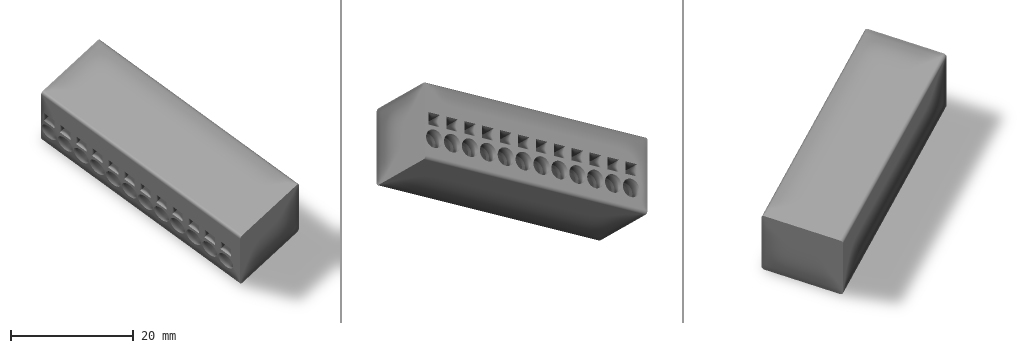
import cadquery as cq

length = 43.4
depth = 14.4
height = 13.5
edge_radius = 0.5

pole_count = 12
first_pole_x = 1.75
last_pole_x = 40.25
pole_pitch = (last_pole_x - first_pole_x) / (pole_count - 1)

entry_diameter = 3.2
entry_floor_diameter = 2.47
entry_z = 3.8
entry_straight_depth = 2.1
entry_taper_depth = 0.35

release_width = 2.25
release_height = 2.15
release_z = 7.15
release_depth = 3.12


def make_housing():
    """Block with its front at Y = 0, rounded along its four long edges."""
    block = cq.Workplane("XY").box(length, depth, height, centered=False)
    return block.edges("|X").fillet(edge_radius)


def make_wire_entry(x):
    """Revolved cutter for one wire entry, running from the front face toward +Y."""
    entry_radius = entry_diameter / 2
    floor_radius = entry_floor_diameter / 2
    floor_depth = entry_straight_depth + entry_taper_depth
    profile = (
        cq.Workplane("XY")
        .lineTo(entry_radius, 0)
        .lineTo(entry_radius, entry_straight_depth)
        .lineTo(floor_radius, floor_depth)
        .lineTo(0, floor_depth)
        .close()
    )
    cutter = profile.revolve(360, (0, 0, 0), (0, 1, 0))
    return cutter.translate((x, 0, entry_z))


def make_release_opening(x):
    """Box cutter for one release opening, running from the front face toward +Y."""
    cutter = cq.Workplane("XY").box(
        release_width, release_depth, release_height, centered=(True, False, True)
    )
    return cutter.translate((x, 0, release_z))


result = make_housing()
for pole in range(pole_count):
    pole_x = first_pole_x + pole * pole_pitch
    result = result.cut(make_wire_entry(pole_x))
    result = result.cut(make_release_opening(pole_x))